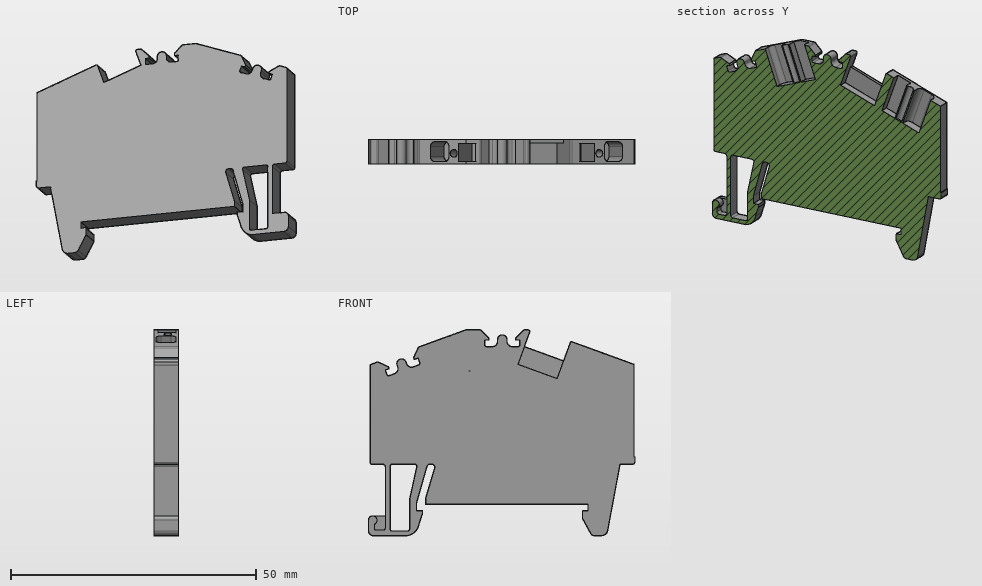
import cadquery as cq
import math


length = 54.35
width = 5.0
height = 42.0
slope = 20.0
slope_sin = math.sin(math.radians(slope))
slope_cos = math.cos(math.radians(slope))
slope_tan = math.tan(math.radians(slope))

body_left = 0.3
body_right = 54.2
body_bottom = 14.55
base_line = 6.4
left_shoulder_z = 34.9
right_shoulder_z = 34.95
bottom_left_radius = 0.4
shoulder_radius = 0.25
bottom_right_radius = 0.55
right_bulge_top = 16.1
ridge_x = body_left + (height - left_shoulder_z) / slope_tan

step_floor_x = 30.5
step_floor_z = 34.95
step_floor_length = 8.5
step_web_height = 3.85
step_web_thickness = 0.75
step_lip_radius = 0.4
tower_peak_radius = 0.25

marker_half_width = 3.55
marker_lip_half_gap = 2.7
marker_lip_bottom = 1.3
marker_lip_top = 1.75
marker_mouth_half_width = 4.4
marker_depth = 3.4
marker_corner_radius = 0.25
marker_mouth_radius = 0.45
bump_radius = 1.0
bump_centre_z = 1.4
bump_foot_half_width = 2.0
top_groove_x = 27.3
slope_groove_x = 7.25

wall_left = 3.4
wall_right = 4.45
wall_root_radius = 0.5
window_top_right = 9.95
window_knee = (8.35, 7.45)
window_bottom = 1.0
window_radius = 0.4
slot_top = (12.05, 13.7)
slot_left_knee = (9.85, 6.75)
slot_right_knee = (11.65, 7.6)
slot_radius = 0.6
catch_z = 5.1
left_catch_x = 11.05
catch_height = 0.6
hook_top = 4.1
hook_lip_radius = 0.85
hook_floor_z = 1.15
hook_inner_x = 1.2
hook_inner_radius = 0.45
hook_web_thickness = 1.0
foot_bottom_radius = 1.0
foot_bottom_right_x = 7.9
foot_curve_middle = (9.5, 0.8)
foot_curve_end = (10.3, 2.4)

right_catch_root_x = 44.7
right_catch_x = 43.6
right_heel_x = 51.3
right_catch_low_z = 3.6
right_catch_radius = 0.2
right_toe_left_x = 45.55
right_toe_right_x = 48.6
right_toe_left_radius = 0.8
right_toe_right_radius = 1.35

well_depth = 8.15
wire_well_low_y = 0.5
wire_well_width = 4.1
wire_well_radius = 1.05
tool_well_low_y = 0.55
tool_well_width = 3.65
test_hole_diameter = 1.5
test_hole_y = 2.2
left_wire_well = (13.1, 4.0)
left_test_hole = 18.15
left_tool_well = (19.2, 3.5)
right_tool_well = (2.0, 3.15)
right_test_hole = 6.2
right_wire_well = (7.3, 3.95)


def plate(profile, low_y=0.0, thickness=width):
    """Extrude a closed XZ outline in +Y from low_y."""
    return profile.extrude(-thickness).translate((0, low_y, 0))


def outline(points):
    return cq.Workplane("XZ").polyline(points).close()


def edges_at(x, z):
    """Selector for the edge that runs along Y through (x, z)."""
    return cq.selectors.BoxSelector((x - 0.05, -0.55, z - 0.05), (x + 0.05, width + 0.55, z + 0.05))


def round_edge(solid, point, radius):
    return solid.edges(edges_at(*point)).fillet(radius)


step_low_left = (step_floor_x, step_floor_z)
step_low_right = (
    step_floor_x + step_floor_length * slope_cos,
    step_floor_z - step_floor_length * slope_sin,
)
step_lip = (step_floor_x + (height - step_floor_z) * slope_tan, height)
tower_drop = right_shoulder_z + (body_right - step_low_right[0]) * slope_tan - step_low_right[1]
tower_wall = tower_drop * slope_cos
tower_peak = (
    step_low_right[0] + tower_wall * slope_sin,
    step_low_right[1] + tower_wall * slope_cos,
)


def make_housing():
    housing = plate(outline([
        (body_left, body_bottom),
        (slot_left_knee[0], body_bottom),
        (slot_left_knee[0], base_line),
        (right_catch_root_x, base_line),
        (right_catch_root_x, body_bottom),
        (length, body_bottom),
        (length, right_bulge_top),
        (body_right, right_bulge_top),
        (body_right, right_shoulder_z),
        tower_peak,
        step_low_right,
        step_low_left,
        step_lip,
        (ridge_x, height),
        (body_left, left_shoulder_z),
    ]))
    housing = round_edge(housing, (body_left, body_bottom), bottom_left_radius)
    housing = round_edge(housing, (body_left, left_shoulder_z), shoulder_radius)
    housing = round_edge(housing, (length, body_bottom), bottom_right_radius)
    housing = round_edge(housing, tower_peak, tower_peak_radius)
    return round_edge(housing, step_lip, step_lip_radius)


def make_step_web():
    """Thin web that closes the step along the +Y side."""
    rise_x = step_web_height * slope_sin
    rise_z = step_web_height * slope_cos
    web = outline([
        step_low_left,
        step_low_right,
        (step_low_right[0] + rise_x, step_low_right[1] + rise_z),
        (step_low_left[0] + rise_x, step_low_left[1] + rise_z),
    ])
    return plate(web, width - step_web_thickness, step_web_thickness)


def make_marker_groove():
    """Cutter for a lipped groove with a round bump on its floor."""
    corners = [(-marker_half_width, 0), (marker_half_width, 0)]
    groove = plate(outline([
        corners[0],
        corners[1],
        (marker_half_width, marker_lip_bottom),
        (marker_lip_half_gap, marker_lip_bottom),
        (marker_lip_half_gap, marker_lip_top),
        (marker_mouth_half_width, marker_depth),
        (-marker_mouth_half_width, marker_depth),
        (-marker_lip_half_gap, marker_lip_top),
        (-marker_lip_half_gap, marker_lip_bottom),
        (-marker_half_width, marker_lip_bottom),
    ]))
    for corner in corners:
        groove = round_edge(groove, corner, marker_corner_radius)
    foot_radius = bump_foot_half_width - bump_radius
    foot_sag = foot_radius * (1 - math.sqrt(0.5))
    bump = plate(
        cq.Workplane("XZ")
        .moveTo(-bump_foot_half_width, 0)
        .threePointArc((-bump_radius - foot_sag, foot_sag), (-bump_radius, foot_radius))
        .lineTo(-bump_radius, bump_centre_z)
        .threePointArc((0, bump_centre_z + bump_radius), (bump_radius, bump_centre_z))
        .lineTo(bump_radius, foot_radius)
        .threePointArc((bump_radius + foot_sag, foot_sag), (bump_foot_half_width, 0))
        .close()
    )
    return groove.cut(bump)


def make_left_foot():
    lip_z = hook_top - hook_lip_radius
    foot = plate(
        cq.Workplane("XZ")
        .lineTo(foot_bottom_right_x, 0)
        .threePointArc(foot_curve_middle, foot_curve_end)
        .lineTo(left_catch_x, catch_z - catch_height)
        .lineTo(left_catch_x, catch_z)
        .lineTo(slot_left_knee[0], catch_z)
        .lineTo(slot_left_knee[0], body_bottom)
        .lineTo(wall_left, body_bottom)
        .lineTo(wall_left, hook_floor_z)
        .lineTo(hook_inner_x, hook_floor_z)
        .lineTo(hook_inner_x, lip_z - hook_lip_radius)
        .threePointArc((2 * hook_lip_radius, lip_z), (hook_lip_radius, hook_top))
        .tangentArcPoint((0, lip_z), relative=False)
        .close()
    )
    foot = round_edge(foot, (0, 0), foot_bottom_radius)
    for x in (wall_left, hook_inner_x):
        foot = round_edge(foot, (x, hook_floor_z), hook_inner_radius)
    hook_web = outline([
        (hook_lip_radius, hook_floor_z / 2),
        (wall_left, hook_floor_z / 2),
        (wall_left, hook_top),
        (hook_lip_radius, hook_top),
    ])
    return foot.union(plate(hook_web, width - hook_web_thickness, hook_web_thickness))


def make_window():
    """Cutter for the opening that makes the left foot springy."""
    corners = [
        (wall_right, body_bottom),
        (window_top_right, body_bottom),
        (window_knee[0], window_bottom),
        (wall_right, window_bottom),
    ]
    window = plate(outline(corners[:2] + [window_knee] + corners[2:]))
    for corner in corners:
        window = round_edge(window, corner, window_radius)
    return window


def make_slot():
    """Cutter for the slanted slot between the left foot and the housing."""
    tops = [(x, body_bottom) for x in slot_top]
    slot = plate(outline(tops + [
        slot_right_knee,
        (slot_right_knee[0], base_line),
        (slot_left_knee[0], base_line),
        slot_left_knee,
    ]))
    for top in tops:
        slot = round_edge(slot, top, slot_radius)
    return slot


def make_right_foot():
    catch_tip = (right_catch_x, catch_z)
    toe_left = (right_toe_left_x, 0)
    toe_right = (right_toe_right_x, 0)
    foot = plate(outline([
        toe_left,
        toe_right,
        (right_heel_x, body_bottom),
        (right_catch_root_x, body_bottom),
        (right_catch_root_x, catch_z),
        catch_tip,
        (right_catch_x, right_catch_low_z),
    ]))
    foot = round_edge(foot, catch_tip, right_catch_radius)
    foot = round_edge(foot, toe_left, right_toe_left_radius)
    return round_edge(foot, toe_right, right_toe_right_radius)


def make_wells(corner, direction, tool_well, test_hole, wire_well):
    """Cutter for the three wells that sink square into one sloping face.

    The face starts at corner and rises (direction 1) or falls (direction -1) along X.
    """
    face = cq.Workplane(cq.Plane(
        origin=(corner[0], 0, corner[1]),
        xDir=(slope_cos, 0, direction * slope_sin),
        normal=(-direction * slope_sin, 0, slope_cos),
    ))

    def pocket(well, low_y, pocket_width):
        start, pocket_length = well
        middle = (start + pocket_length / 2, low_y + pocket_width / 2)
        return face.center(*middle).rect(pocket_length, pocket_width).extrude(-well_depth)

    tool_pocket = pocket(tool_well, tool_well_low_y, tool_well_width)
    wire_pocket = pocket(wire_well, wire_well_low_y, wire_well_width)
    wire_edges = cq.selectors.ParallelDirSelector(face.plane.zDir)
    wire_pocket = wire_pocket.edges(wire_edges).fillet(wire_well_radius)
    hole = face.center(test_hole, test_hole_y).circle(test_hole_diameter / 2).extrude(-well_depth)
    return tool_pocket.union(wire_pocket).union(hole)


top_groove = make_marker_groove().translate((top_groove_x, 0, height - marker_depth))
slope_groove_face_z = left_shoulder_z + (slope_groove_x - body_left) * slope_tan
slope_groove_floor_z = slope_groove_face_z - marker_depth / slope_cos
slope_groove = (
    make_marker_groove()
    .rotate((0, 0, 0), (0, 1, 0), -slope)
    .translate((slope_groove_x, 0, slope_groove_floor_z))
)
left_wells = make_wells(
    (body_left, left_shoulder_z), 1, left_tool_well, left_test_hole, left_wire_well
)
right_wells = make_wells(tower_peak, -1, right_tool_well, right_test_hole, right_wire_well)

result = make_housing().union(make_step_web()).union(make_left_foot()).union(make_right_foot())
for cutter in (make_window(), make_slot(), top_groove, slope_groove, left_wells, right_wells):
    result = result.cut(cutter)

result = round_edge(result, (wall_left, body_bottom), wall_root_radius)

for side in (-1, 1):
    reach = side * marker_mouth_half_width
    top_mouth = (top_groove_x + reach, height)
    slope_mouth = (
        slope_groove_x - marker_depth * slope_sin + reach * slope_cos,
        slope_groove_floor_z + marker_depth * slope_cos + reach * slope_sin,
    )
    for mouth in (top_mouth, slope_mouth):
        result = round_edge(result, mouth, marker_mouth_radius)